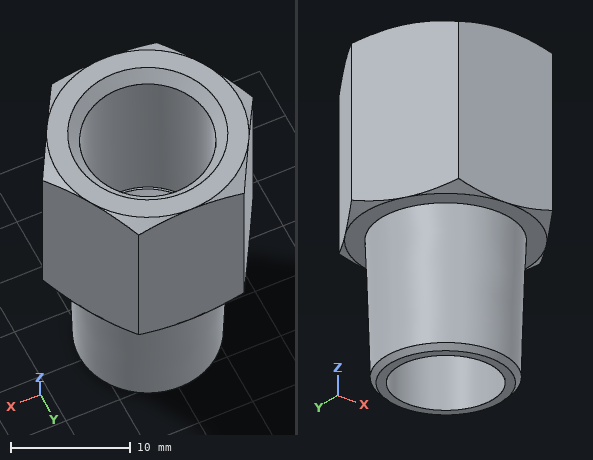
import cadquery as cq
import math

total_length = 29.9
across_flats = 17.0
across_corners = across_flats / math.cos(math.radians(30))
hex_length = 16.4
shank_length = total_length - hex_length
hex_chamfer_angle = 30.0

shank_top_diameter = 13.57
taper_per_length = 1 / 16
tip_chamfer = 0.5
shank_tip_diameter = shank_top_diameter - shank_length * taper_per_length

through_diameter = 10.0
socket_diameter = 11.45
socket_depth = hex_length
mouth_diameter = 13.45
mouth_depth = (mouth_diameter - socket_diameter) / 2
seat_diameter = 11.05
seat_depth = (seat_diameter - through_diameter) / 2


def revolve_profile(points):
    """Turn a closed (radius, height) outline around the Z axis."""
    return cq.Workplane("XZ").polyline(points).close().revolve(360, (0, 0), (0, 1))


def make_hexagon():
    """Hexagon with both ends chamfered down to the across-flats circle."""
    prism = (
        cq.Workplane("XY")
        .workplane(offset=shank_length)
        .polygon(6, across_corners)
        .extrude(hex_length)
    )
    face_radius = across_flats / 2
    corner_radius = across_corners / 2
    corner_drop = (corner_radius - face_radius) * math.tan(math.radians(hex_chamfer_angle))
    envelope = revolve_profile([
        (0, shank_length),
        (face_radius, shank_length),
        (corner_radius, shank_length + corner_drop),
        (corner_radius, total_length - corner_drop),
        (face_radius, total_length),
        (0, total_length),
    ])
    return prism.intersect(envelope)


def make_shank():
    """Tapered round shank with a chamfered tip."""
    tip_radius = shank_tip_diameter / 2
    return revolve_profile([
        (0, 0),
        (tip_radius - tip_chamfer, 0),
        (tip_radius, tip_chamfer),
        (shank_top_diameter / 2, shank_length),
        (0, shank_length),
    ])


def make_bore():
    """Through hole widening through a conical seat to a socket with a countersunk mouth."""
    socket_floor = total_length - socket_depth
    return revolve_profile([
        (0, 0),
        (through_diameter / 2, 0),
        (through_diameter / 2, socket_floor - seat_depth),
        (seat_diameter / 2, socket_floor),
        (socket_diameter / 2, socket_floor),
        (socket_diameter / 2, total_length - mouth_depth),
        (mouth_diameter / 2, total_length),
        (0, total_length),
    ])


result = make_hexagon().union(make_shank()).cut(make_bore())